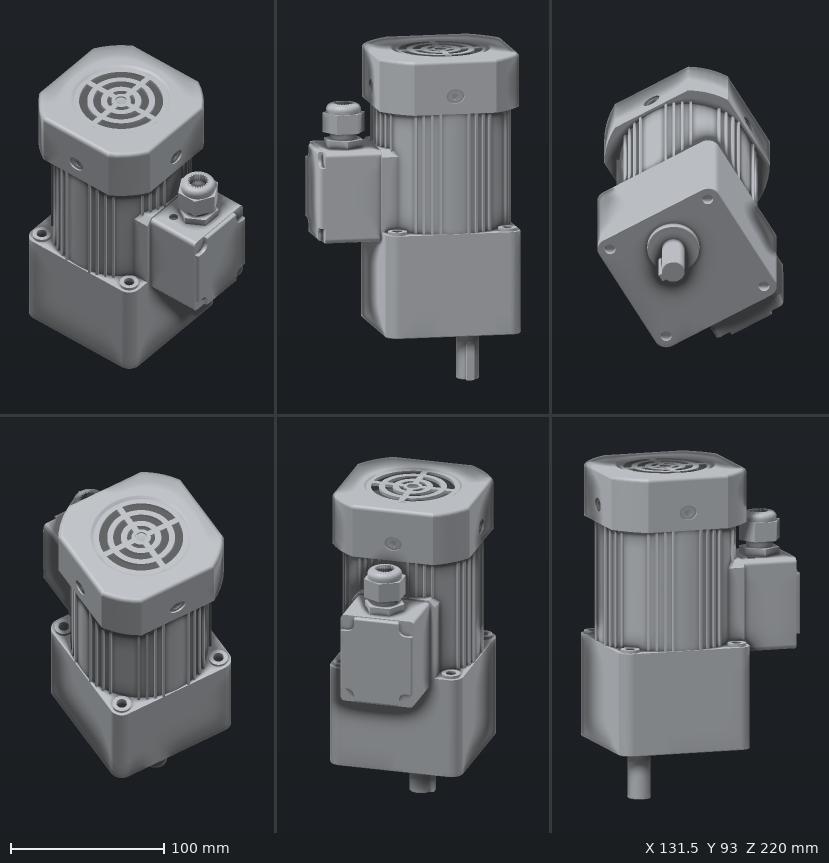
import cadquery as cq
import math

shaft_length = 32.0
boss_height = 4.0
gearbox_height = 60.0
flange_height = 8.0
stator_height = 80.0
cover_height = 36.0

boss_bottom_z = shaft_length
gearbox_bottom_z = boss_bottom_z + boss_height
flange_bottom_z = gearbox_bottom_z + gearbox_height
flange_top_z = flange_bottom_z + flange_height
stator_top_z = flange_top_z + stator_height
cover_top_z = stator_top_z + cover_height

frame_width = 90.0
frame_corner_radius = 8.0
edge_break = 0.5
boss_diameter = 34.0
mount_circle_diameter = 104.0
mount_hole_diameter = 7.0
mount_pad_diameter = 12.4
mount_pad_height = 2.0
mount_offset = mount_circle_diameter / 2 / math.sqrt(2)
mount_points = [(sx * mount_offset, sy * mount_offset) for sx in (-1, 1) for sy in (-1, 1)]

shaft_x = -18.0
shaft_diameter = 15.0
key_width = 5.0
key_length = 25.0
key_top_y = 9.5

stator_radius = 44.2
fin_tip_radius = 46.0
fin_width = 1.6
fins_per_group = 4
fin_groups = 8
fin_pitch_angle = 6.9
pad_face_x = 45.0
pad_half_width = 28.2
pad_top_z = 158.2
pad_chamfer_width = 4.2
pad_chamfer_height = 4.5
shield_height = 14.0

cover_width = 93.0
cover_corner_radius = 54.0
cover_wall = 2.0
cover_edge_radius = 3.0
cover_plate = 3.0
grille_outer_radius = 33.1
grille_floor_radius = 31.1
grille_depth = 1.0
vent_rings = [(22.1, 27.5), (13.2, 18.3), (6.3, 9.2)]
vent_hub_radius = 3.9
vent_hub_depth = 1.0
spoke_width = 4.0
screw_z = stator_top_z + 11.8
screw_recess_size = (11.8, 9.4)
screw_recess_depth = 1.2
screw_seat_size = (6.0, 4.9)
screw_seat_depth = 1.6
screw_hole_size = (3.4, 2.8)

box_end_x = 85.0
lid_thickness = 3.0
lid_joint_x = box_end_x - lid_thickness
box_width = 50.0
box_height = 60.0
box_bottom_z = 97.0
box_top_z = box_bottom_z + box_height
box_mid_z = (box_bottom_z + box_top_z) / 2
box_edge_radius = 3.0
lid_inset = 0.5
lid_edge_radius = 1.5
lid_notch = 10.0
lid_notch_radius = 5.0
box_dimple_diameter = 6.0
box_dimple_depth = 3.0
box_dimple_point = (54.9, -13.2)

gland_x = 64.8
gland_base_flats = 23.2
gland_base_height = 5.0
gland_base_turn = 30.0
gland_neck_diameter = 17.5
gland_neck_height = 4.8
gland_nut_flats = 24.2
gland_nut_height = 12.7
gland_dome_diameter = 22.8
gland_dome_height = 6.0
gland_dome_radius = 4.0
bore_tooth_count = 24
bore_tip_radius = 5.6
bore_root_radius = 7.2


def frame_block(bottom_z, height):
    """Rounded square block shared by the gearbox and the motor flange."""
    block = cq.Workplane("XY", origin=(0, 0, bottom_z)).rect(frame_width, frame_width).extrude(height)
    return block.edges("|Z").fillet(frame_corner_radius)


def mount_cylinders(diameter, bottom_z, height):
    """One upright cylinder at each of the four mounting points."""
    plane = cq.Workplane("XY", origin=(0, 0, bottom_z))
    return plane.pushPoints(mount_points).circle(diameter / 2).extrude(height)


def cylinder(diameter, bottom_z, height, x=0.0):
    return cq.Workplane("XY", origin=(x, 0, bottom_z)).circle(diameter / 2).extrude(height)


def hexagon(flats, bottom_z, height, turn):
    """Hexagonal prism at the gland axis; with no turn its corners point along X."""
    corner_diameter = flats / math.cos(math.pi / 6)
    prism = cq.Workplane("XY").polygon(6, corner_diameter).extrude(height)
    return prism.rotate((0, 0, 0), (0, 0, 1), turn).translate((gland_x, 0, bottom_z))


def cover_outline(bottom_z, height, inset):
    """Square prism whose corners are rounded off by a circle about the motor axis."""
    width = cover_width - 2 * inset
    square = cq.Workplane("XY", origin=(0, 0, bottom_z)).rect(width, width).extrude(height)
    return square.intersect(cylinder(2 * (cover_corner_radius - inset), bottom_z, height))


def make_keyed_shaft():
    shaft = cylinder(shaft_diameter, 0, gearbox_bottom_z, shaft_x).faces("<Z").chamfer(edge_break)
    key = (
        cq.Workplane("XZ", origin=(shaft_x, key_top_y, 0))
        .moveTo(-key_width / 2, 0)
        .lineTo(-key_width / 2, key_length - key_width / 2)
        .threePointArc((0, key_length), (key_width / 2, key_length - key_width / 2))
        .lineTo(key_width / 2, 0)
        .close()
        .extrude(key_top_y)
    )
    return shaft.union(key)


def make_gearbox():
    case = frame_block(gearbox_bottom_z, gearbox_height).faces("<Z").chamfer(edge_break)
    boss = cylinder(boss_diameter, boss_bottom_z, boss_height, shaft_x).faces("<Z").chamfer(edge_break)
    case = case.cut(mount_cylinders(mount_hole_diameter, gearbox_bottom_z, gearbox_height))
    return case.union(boss).union(make_keyed_shaft())


def make_fins():
    """Cooling fins in groups, each group centred between two plain stretches of the stator."""
    fin_length = fin_tip_radius - stator_radius / 2
    fin = (
        cq.Workplane("XY", origin=(stator_radius / 2 + fin_length / 2, 0, flange_top_z))
        .rect(fin_length, fin_width)
        .extrude(stator_height)
    )
    group_step = 360 / fin_groups
    fins = cq.Workplane("XY")
    for group in range(fin_groups):
        for index in range(fins_per_group):
            offset = (index - (fins_per_group - 1) / 2) * fin_pitch_angle
            fins = fins.add(fin.rotate((0, 0, 0), (0, 0, 1), (group + 0.5) * group_step + offset))
    return fins


def make_box_pad():
    """Block on the +X side of the stator that carries the terminal box."""
    shoulder_y = pad_half_width - pad_chamfer_width
    shoulder_z = pad_top_z - pad_chamfer_height
    return (
        cq.Workplane("YZ")
        .moveTo(-pad_half_width, flange_top_z)
        .lineTo(pad_half_width, flange_top_z)
        .lineTo(pad_half_width, shoulder_z)
        .lineTo(shoulder_y, pad_top_z)
        .lineTo(-shoulder_y, pad_top_z)
        .lineTo(-pad_half_width, shoulder_z)
        .close()
        .extrude(pad_face_x)
    )


def make_motor_body():
    body = frame_block(flange_bottom_z, flange_height)
    body = body.union(cylinder(2 * stator_radius, flange_top_z, stator_height))
    for fin in make_fins().vals():
        body = body.union(cq.Workplane(fin))
    trim = cq.Workplane("YZ", origin=(pad_face_x, 0, box_mid_z)).rect(box_width, box_height)
    trim = trim.extrude(fin_tip_radius - pad_face_x)
    body = body.union(make_box_pad()).cut(trim)
    body = body.union(cover_outline(stator_top_z, shield_height, cover_wall))
    pads = mount_cylinders(mount_pad_diameter, flange_top_z, mount_pad_height)
    holes = mount_cylinders(mount_hole_diameter, flange_bottom_z, flange_height + mount_pad_height)
    return body.union(pads).cut(holes)


def make_vents(floor_z):
    """Arc slots through the grille plate, parted by a cross of spokes, and a shallow hub dimple."""
    through = grille_depth + cover_plate
    spoke = cq.Workplane("XY", origin=(0, 0, floor_z - through))
    spokes = spoke.rect(spoke_width, cover_width).extrude(2 * through)
    spokes = spokes.union(spoke.rect(cover_width, spoke_width).extrude(2 * through))
    vents = cylinder(2 * vent_hub_radius, floor_z - vent_hub_depth, vent_hub_depth)
    for inner_radius, outer_radius in vent_rings:
        ring = cylinder(2 * outer_radius, floor_z - through, 2 * through)
        ring = ring.cut(cylinder(2 * inner_radius, floor_z - through, 2 * through))
        vents = vents.union(ring.cut(spokes))
    return vents


def make_screw_recess():
    """Oval recess, seat and hole, one inside the other, through the wall on the -Y side."""
    steps = [
        (screw_recess_size, screw_recess_depth),
        (screw_seat_size, screw_seat_depth),
        (screw_hole_size, cover_wall),
    ]
    wall_face = cq.Workplane("XZ", origin=(0, -cover_width / 2, screw_z))
    recess = cq.Workplane("XY")
    for (width, height), depth in steps:
        recess = recess.union(wall_face.ellipse(width / 2, height / 2).extrude(-depth))
    return recess


def make_fan_cover():
    floor_z = cover_top_z - grille_depth
    cover = cover_outline(stator_top_z, cover_height, 0).faces(">Z").edges().fillet(cover_edge_radius)
    cover = cover.cut(cover_outline(stator_top_z, cover_height - cover_plate, cover_wall))
    grille = (
        cq.Workplane("XZ")
        .moveTo(0, floor_z)
        .lineTo(grille_floor_radius, floor_z)
        .lineTo(grille_outer_radius, cover_top_z)
        .lineTo(0, cover_top_z)
        .close()
        .revolve(360, (0, 0, 0), (0, 1, 0))
    )
    cover = cover.cut(grille).cut(make_vents(floor_z))
    recess = make_screw_recess()
    for side in range(4):
        cover = cover.cut(recess.rotate((0, 0, 0), (0, 0, 1), side * 90))
    return cover


def box_block(start_x, length, inset):
    """Block with rounded long edges, centred on the terminal box and lying along X."""
    block = cq.Workplane("YZ", origin=(start_x, 0, box_mid_z))
    block = block.rect(box_width - 2 * inset, box_height - 2 * inset).extrude(length)
    return block.edges("|X").fillet(box_edge_radius)


def make_terminal_box():
    dimple = (
        cq.Workplane("XY", origin=(*box_dimple_point, box_top_z))
        .circle(box_dimple_diameter / 2)
        .extrude(-box_dimple_depth)
    )
    return box_block(pad_face_x, lid_joint_x - pad_face_x, 0).cut(dimple)


def make_box_lid():
    """Lid with a rounded rim and a rounded seat cut through each corner."""
    lid = box_block(lid_joint_x, lid_thickness, lid_inset).faces(">X").edges().fillet(lid_edge_radius)
    corners = [(sy * box_width / 2, sz * box_height / 2) for sy in (-1, 1) for sz in (-1, 1)]
    notches = (
        cq.Workplane("YZ", origin=(lid_joint_x, 0, box_mid_z))
        .pushPoints(corners)
        .rect(2 * lid_notch, 2 * lid_notch)
        .extrude(lid_thickness)
        .edges("|X")
        .fillet(lid_notch_radius)
    )
    return lid.cut(notches)


def make_bore():
    """Serrated opening in the top of the gland."""
    points = []
    for step in range(2 * bore_tooth_count):
        radius = bore_root_radius if step % 2 else bore_tip_radius
        angle = math.pi * step / bore_tooth_count
        points.append((radius * math.cos(angle), radius * math.sin(angle)))
    return cq.Workplane("XY").polyline(points).close().extrude(gland_dome_height)


def make_cable_gland():
    neck_z = box_top_z + gland_base_height
    nut_z = neck_z + gland_neck_height
    dome_z = nut_z + gland_nut_height
    dome = cylinder(gland_dome_diameter, dome_z, gland_dome_height, gland_x)
    dome = dome.faces(">Z").edges().fillet(gland_dome_radius)
    gland = hexagon(gland_base_flats, box_top_z, gland_base_height, gland_base_turn)
    gland = gland.union(cylinder(gland_neck_diameter, neck_z, gland_neck_height, gland_x))
    gland = gland.union(hexagon(gland_nut_flats, nut_z, gland_nut_height, 0))
    gland = gland.union(dome)
    return gland.cut(make_bore().translate((gland_x, 0, dome_z)))


gearbox = make_gearbox()
motor_body = make_motor_body()
fan_cover = make_fan_cover()
terminal_box = make_terminal_box()
box_lid = make_box_lid()
cable_gland = make_cable_gland()

result = cq.Compound.makeCompound(
    [
        gearbox.val(),
        motor_body.val(),
        fan_cover.val(),
        terminal_box.val(),
        box_lid.val(),
        cable_gland.val(),
    ]
)